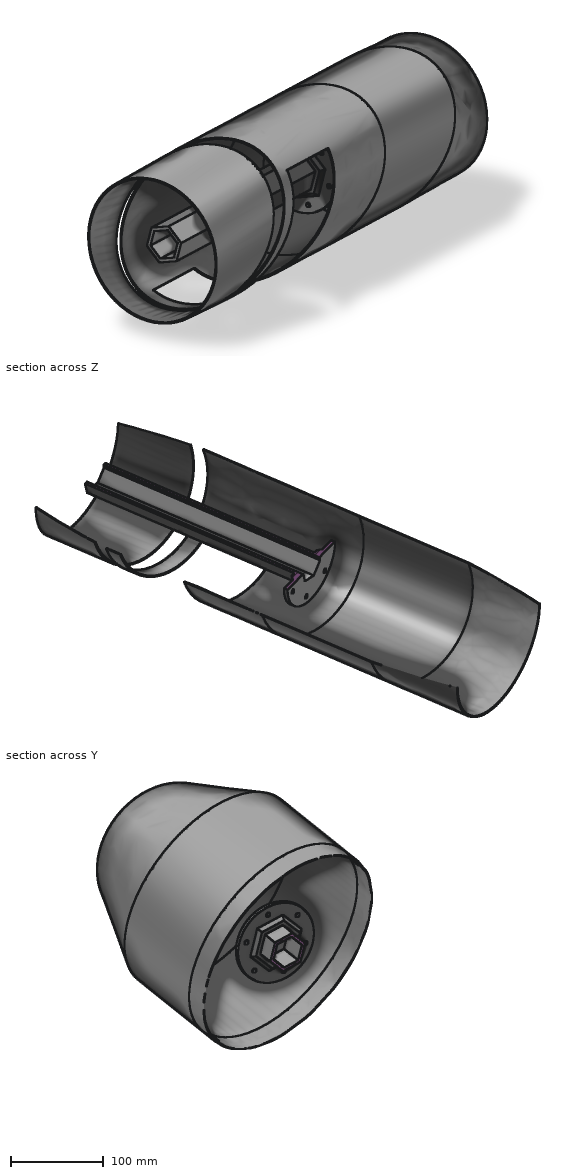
import cadquery as cq
import math


HALF_WIDTH = 123.5
HALF_HEIGHT = 82.0
WALL = 1.5
TILT = 45

END_LENGTH = 100.0
NOSE_LENGTH = 84.0
COWL_FRONT = END_LENGTH
COWL_REAR = 300.0
TOTAL_LENGTH = 540.0
TAIL_FRONT = TOTAL_LENGTH - END_LENGTH

OPENING_FRONT = 117.5
OPENING_REAR = 200.0
OPENING_DROP = 15.0

HEX_SIDES = 6
HEX_TURN = 15
TUBE_FRONT = 23.0
TUBE_CORNER = 22.5
BORE_CORNER = 18.0
COLLAR_TIP_CORNER = 28.0
COLLAR_BASE_CORNER = 33.0
COLLAR_LENGTH = 4.5
FLANGE_RADIUS = 47.0
FLANGE_THICKNESS = 5.0
FLANGE_REAR = COWL_REAR
FLANGE_FRONT = FLANGE_REAR - FLANGE_THICKNESS
BOLT_COUNT = 6
BOLT_TURN = HEX_TURN + 180 / BOLT_COUNT
BOLT_CIRCLE_RADIUS = 38.0
BOLT_HOLE_RADIUS = 2.45

AXIS = cq.Vector(0, 1, 0)
LONG_AXIS = cq.Vector(math.cos(math.radians(TILT)), 0, math.sin(math.radians(TILT)))


def cross_plane(y):
    """Workplane across the axis at y: local x is +X, local y is +Z, extrusion goes towards -Y."""
    return cq.Workplane("XZ", origin=(0, y, 0))


def section(y, half_width, inset):
    """Tilted ellipse across the axis at y, drawn inwards by inset."""
    return cq.Wire.makeEllipse(
        half_width - inset, HALF_HEIGHT - inset, cq.Vector(0, y, 0), AXIS, LONG_AXIS
    )


def shell(front, front_half_width, rear, rear_half_width):
    """Thin open-ended sleeve that runs straight from one elliptical section to another."""

    def solid_between(inset):
        ends = [section(front, front_half_width, inset), section(rear, rear_half_width, inset)]
        return cq.Solid.makeLoft(ends, True)

    outer = solid_between(0)
    inner = solid_between(WALL)
    return cq.Workplane(outer.cut(inner))


def make_nose():
    growth = (HALF_WIDTH - HALF_HEIGHT) * NOSE_LENGTH / END_LENGTH
    return shell(0, HALF_HEIGHT, NOSE_LENGTH, HALF_HEIGHT + growth)


def make_cowl():
    sleeve = shell(COWL_FRONT, HALF_WIDTH, COWL_REAR, HALF_WIDTH)
    depth = HALF_HEIGHT
    opening = (
        cross_plane(OPENING_REAR)
        .transformed(rotate=(0, 0, TILT))
        .center(0, -OPENING_DROP - depth / 2)
        .rect(2 * HALF_WIDTH, depth)
        .extrude(OPENING_REAR - OPENING_FRONT)
    )
    return sleeve.cut(opening)


def make_middle():
    return shell(COWL_REAR, HALF_WIDTH, TAIL_FRONT, HALF_WIDTH)


def make_tail():
    return shell(TAIL_FRONT, HALF_WIDTH, TOTAL_LENGTH, HALF_HEIGHT)


def hexagon(y, corner):
    """Hexagonal outline across the axis at y, with the given corner distance."""
    return cross_plane(y).transformed(rotate=(0, 0, HEX_TURN)).polygon(HEX_SIDES, 2 * corner)


def make_hub():
    tube_length = FLANGE_REAR - TUBE_FRONT

    flange = cross_plane(FLANGE_REAR).circle(FLANGE_RADIUS).extrude(FLANGE_THICKNESS)
    bolt_holes = (
        cross_plane(FLANGE_REAR)
        .polarArray(BOLT_CIRCLE_RADIUS, BOLT_TURN, 360, BOLT_COUNT)
        .circle(BOLT_HOLE_RADIUS)
        .extrude(FLANGE_THICKNESS)
    )
    collar = (
        hexagon(FLANGE_FRONT, COLLAR_BASE_CORNER)
        .workplane(offset=COLLAR_LENGTH)
        .polygon(HEX_SIDES, 2 * COLLAR_TIP_CORNER)
        .loft(ruled=True)
    )
    tube = hexagon(FLANGE_REAR, TUBE_CORNER).extrude(tube_length)
    bore = hexagon(FLANGE_REAR, BORE_CORNER).extrude(tube_length)
    return flange.cut(bolt_holes).union(collar).union(tube).cut(bore)


nose = make_nose()
cowl = make_cowl()
middle = make_middle()
tail = make_tail()
hub = make_hub()

result = cq.Compound.makeCompound([nose.val(), cowl.val(), middle.val(), tail.val(), hub.val()])